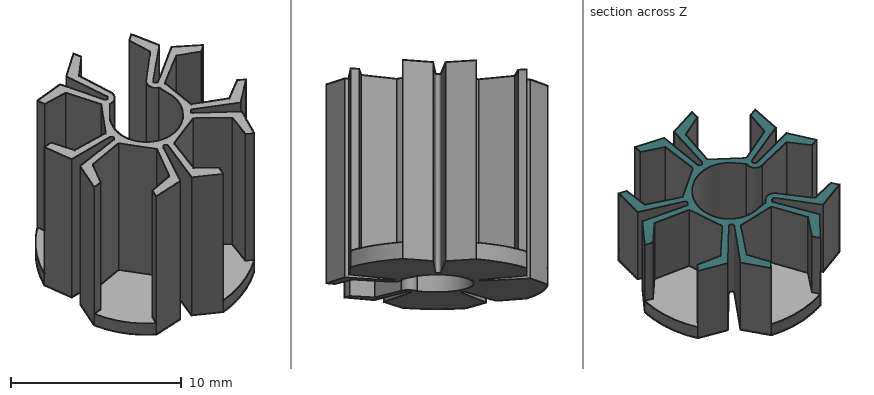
import cadquery as cq
import math

height = 12.0
outer_radius = 6.5
bore_radius = 2.16
floor_thickness = 1.0
petal_count = 5
petal_pitch = 360 / petal_count
mouth_angle = 180.0

slot_end_radius = 0.15
slot_end_center = 2.77
slot_mouth_radius = 5.62
slot_mouth_half_angle = 3.7

pocket_root = (2.77, 24.5)
pocket_elbow = (5.05, 27.1)
pocket_lip = (6.0, 14.9)
petal_tip = (outer_radius, 16.6)

bump_radius = 0.56
mouth_tangent_angle = 116.0
flank_length = 1.17


def polar(radius, angle):
    turn = math.radians(angle)
    return radius * math.cos(turn), radius * math.sin(turn)


def petal_body():
    """Five straight-sided petals with rounded outer ends, joined at the slot mouths."""
    corner_angle = petal_pitch / 2 - slot_mouth_half_angle
    first_axis = petal_pitch / 2
    outline = cq.Workplane("XY").moveTo(*polar(slot_mouth_radius, first_axis - corner_angle))
    for index in range(petal_count):
        axis = first_axis + index * petal_pitch
        if index > 0:
            outline = outline.lineTo(*polar(slot_mouth_radius, axis - corner_angle))
        outline = outline.lineTo(*polar(outer_radius, axis - petal_tip[1]))
        outline = outline.threePointArc(polar(outer_radius, axis), polar(outer_radius, axis + petal_tip[1]))
        outline = outline.lineTo(*polar(slot_mouth_radius, axis + corner_angle))
    return outline.close().extrude(height)


def slot(angle):
    mouth_x, mouth_y = polar(slot_mouth_radius, slot_mouth_half_angle)
    return (
        cq.Workplane("XY")
        .moveTo(mouth_x, -mouth_y)
        .lineTo(mouth_x, mouth_y)
        .lineTo(slot_end_center, slot_end_radius)
        .threePointArc((slot_end_center - slot_end_radius, 0), (slot_end_center, -slot_end_radius))
        .close()
        .extrude(height)
        .rotate((0, 0, 0), (0, 0, 1), angle)
    )


def pocket(angle, floor):
    corners = [pocket_lip, pocket_elbow, pocket_root]
    left_side = [polar(radius, offset) for radius, offset in corners]
    right_side = [polar(radius, -offset) for radius, offset in reversed(corners)]
    start = polar(outer_radius, petal_tip[1])
    end = polar(outer_radius, -petal_tip[1])
    return (
        cq.Workplane("XY", origin=(0, 0, floor))
        .polyline([start] + left_side + right_side + [end])
        .threePointArc((outer_radius, 0), start)
        .close()
        .extrude(height - floor)
        .rotate((0, 0, 0), (0, 0, 1), angle)
    )


def mouth():
    """Opening from the bore into the open petal, less the round bumps at the finger roots."""
    tangent_x, tangent_y = polar(bore_radius, mouth_tangent_angle)
    step_x, step_y = polar(flank_length, mouth_tangent_angle + 90)
    flank_end = (tangent_x + step_x, tangent_y + step_y)
    root = polar(pocket_root[0], mouth_angle - pocket_root[1])
    upper = [(0, 0), (tangent_x, tangent_y), flank_end, root]
    lower = [(x, -y) for x, y in reversed(upper[1:])]
    opening = cq.Workplane("XY").polyline(upper + lower).close().extrude(height)
    for side in (1, -1):
        center = polar(slot_end_center, mouth_angle - side * petal_pitch / 2)
        bump = cq.Workplane("XY").center(*center).circle(bump_radius).extrude(height)
        opening = opening.cut(bump)
    return opening


result = petal_body()
for index in range(petal_count):
    slot_angle = index * petal_pitch
    pocket_angle = slot_angle + petal_pitch / 2
    is_mouth = math.isclose(pocket_angle, mouth_angle)
    result = result.cut(slot(slot_angle))
    result = result.cut(pocket(pocket_angle, 0 if is_mouth else floor_thickness))
result = result.cut(cq.Workplane("XY").circle(bore_radius).extrude(height))
result = result.cut(mouth())